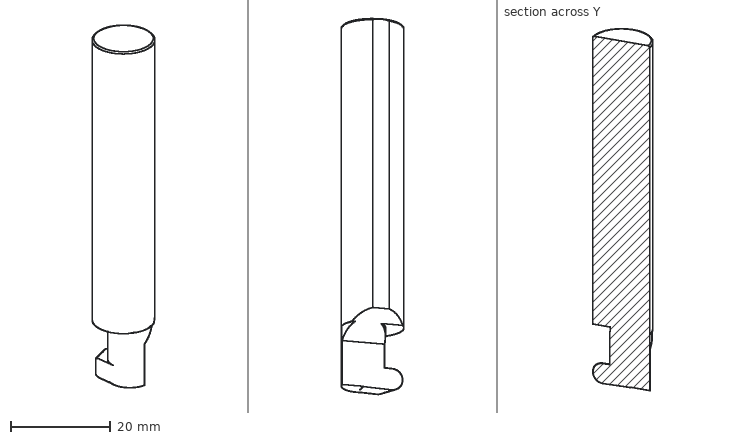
import cadquery as cq

shank_diameter = 12.7
shank_radius = shank_diameter / 2
flat_depth = 0.25
flat_y = shank_radius - flat_depth
total_length = 76.11
shank_bottom_z = 12.7
top_chamfer = 0.35

neck_radius = 4.45
neck_center_x = shank_radius - neck_radius
neck_bottom_z = 0.25

slope_top_z = 15.1
slope_bottom_z = 9.5

nose_radius = 2.25
tip_x = -shank_radius
heel_y = -neck_radius
heel_setback = 1.95
clearance_heel_x = -3.45
side_relief = 0.12
side_slope = 0.03

overrun = 1.0


def make_shank():
    bar = cq.Workplane("XY").workplane(offset=shank_bottom_z).circle(shank_radius)
    return bar.extrude(total_length - shank_bottom_z).faces(">Z").chamfer(top_chamfer)


def make_neck():
    bar = cq.Workplane("XY").workplane(offset=neck_bottom_z).center(neck_center_x, 0)
    return bar.circle(neck_radius).extrude(slope_top_z - neck_bottom_z)


def make_back_cut():
    """Everything behind the shank flat, the slope and the neck flat, as seen along X."""
    beyond = 2 * shank_radius
    outline = [
        (0, -overrun),
        (0, slope_bottom_z),
        (flat_y, slope_top_z),
        (flat_y, total_length + overrun),
        (beyond, total_length + overrun),
        (beyond, -overrun),
    ]
    return cq.Workplane("YZ").polyline(outline).close().extrude(shank_radius + overrun, both=True)


def head_section(y, setback, relief):
    """Round-nosed section of the head at constant Y, ending at the neck axis."""
    radius = nose_radius - relief
    center_x = tip_x + setback + radius
    center_z = nose_radius + side_slope * (setback - relief)
    rise = side_slope * (neck_center_x - center_x)
    top_end = cq.Vector(center_x, y, center_z + radius)
    nose_point = cq.Vector(center_x - radius, y, center_z)
    bottom_end = cq.Vector(center_x, y, center_z - radius)
    top_root = cq.Vector(neck_center_x, y, center_z + radius + rise)
    bottom_root = cq.Vector(neck_center_x, y, center_z - radius + rise)
    edges = [
        cq.Edge.makeThreePointArc(top_end, nose_point, bottom_end),
        cq.Edge.makeLine(bottom_end, bottom_root),
        cq.Edge.makeLine(bottom_root, top_root),
        cq.Edge.makeLine(top_root, top_end),
    ]
    return cq.Wire.assembleEdges(edges)


def make_head():
    sections = [head_section(0, 0, 0), head_section(heel_y, heel_setback, side_relief)]
    return cq.Workplane(cq.Solid.makeLoft(sections, True))


def make_clearance_cut():
    """Region in front of the rounded clearance, an arc that leaves the tip along the nose line."""
    tip = cq.Vector(tip_x, 0, 0)
    heel_end = cq.Vector(clearance_heel_x, heel_y, 0)
    outer_corner = cq.Vector(tip_x, heel_y, 0)
    nose_line = cq.Vector(heel_setback, heel_y, 0)
    edges = [
        cq.Edge.makeTangentArc(tip, nose_line, heel_end),
        cq.Edge.makeLine(heel_end, outer_corner),
        cq.Edge.makeLine(outer_corner, tip),
    ]
    face = cq.Face.makeFromWires(cq.Wire.assembleEdges(edges))
    return cq.Workplane(cq.Solid.extrudeLinear(face, cq.Vector(0, 0, shank_bottom_z)))


shank_and_neck = make_shank().union(make_neck()).cut(make_back_cut())
result = shank_and_neck.union(make_head().cut(make_clearance_cut()))